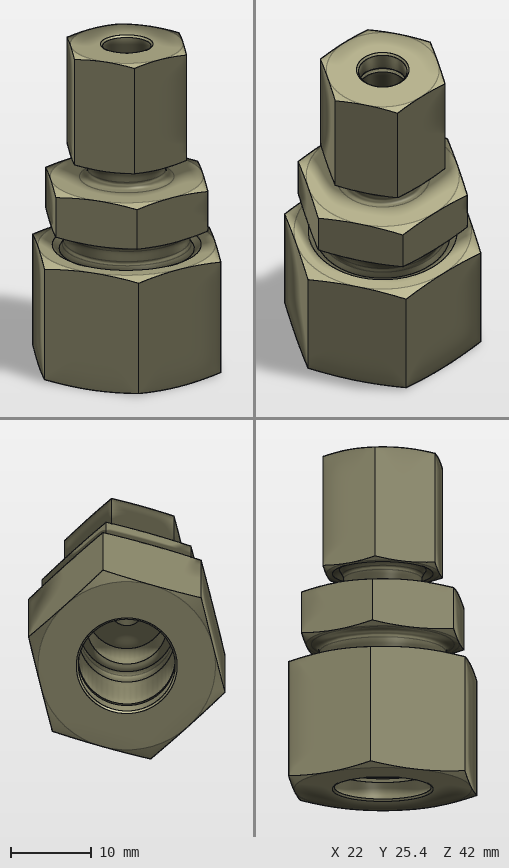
import cadquery as cq
import math


overall_length = 42
body_hex_width = 19.0
body_hex_length = 6.0
hex_chamfer_angle = 15

large_end = {
    "nut_width": 22.0,
    "nut_length": 15.5,
    "mouth_diameter": 18.5,
    "thread_diameter": 16.75,
    "neck_diameter": 15.7,
    "ring_diameter": 16.0,
    "cone_diameter": 14.3,
    "tube_diameter": 12.0,
    "bore_diameter": 10.0,
}
small_end = {
    "nut_width": 14.0,
    "nut_length": 14.5,
    "mouth_diameter": 12.47,
    "thread_diameter": 10.75,
    "neck_diameter": 9.7,
    "ring_diameter": 10.0,
    "cone_diameter": 8,
    "tube_diameter": 6.0,
    "bore_diameter": 4.0,
}

stem_length = 10.0
neck_fillet = 1.0
neck_end = 2.35
countersink_slope = 30
neck_run_out_angle = 30
socket_depth = 7.0
cone_half_angle = 12
ring_nose_length = 3.0
ring_recess = 3.0
land_length = 2.35
tube_hole_chamfer = 0.25

nut_gap = (overall_length - body_hex_length - large_end["nut_length"] - small_end["nut_length"]) / 2
body_bottom = large_end["nut_length"] + nut_gap
body_top = body_bottom + body_hex_length


def revolved(outline):
    """Turn a closed XZ outline around the Z axis."""
    return outline.close().revolve(360, (0, 0, 0), (0, 1, 0))


def chamfered_hexagon(width, length):
    """Hexagonal prism from z = 0, flats facing +X and -X, corners turned down at both ends."""
    corner_radius = width / math.sqrt(3)
    chamfer_height = (corner_radius - width / 2) * math.tan(math.radians(hex_chamfer_angle))
    prism = cq.Workplane("XY").polygon(6, 2 * corner_radius).extrude(length)
    prism = prism.rotate((0, 0, 0), (0, 0, 1), 30)
    turned = revolved(
        cq.Workplane("XZ")
        .lineTo(width / 2, 0)
        .lineTo(corner_radius, chamfer_height)
        .lineTo(corner_radius, length - chamfer_height)
        .lineTo(width / 2, length)
        .lineTo(0, length)
    )
    return prism.intersect(turned)



def countersink_depth(end):
    """Depth of the conical countersink at the nut's inner face."""
    width = (end["mouth_diameter"] - end["thread_diameter"]) / 2
    return width * math.tan(math.radians(countersink_slope))


def make_stem(end):
    """Solid threaded stem with its relief neck."""
    neck_radius = end["neck_diameter"] / 2
    thread_radius = end["thread_diameter"] / 2
    fillet_center = neck_radius + neck_fillet

    def fillet_point(center_height, angle):
        """Point on a neck fillet; the angle is 0 where it meets the straight neck."""
        radians = math.radians(angle)
        return (
            fillet_center - neck_fillet * math.cos(radians),
            center_height + neck_fillet * math.sin(radians),
        )

    return revolved(
        cq.Workplane("XZ")
        .lineTo(fillet_center, 0)
        .threePointArc(fillet_point(neck_fillet, -45), fillet_point(neck_fillet, 0))
        .lineTo(neck_radius, neck_end)
        .threePointArc(
            fillet_point(neck_end, neck_run_out_angle / 2),
            fillet_point(neck_end, neck_run_out_angle),
        )
        .lineTo(thread_radius, nut_gap + countersink_depth(end))
        .lineTo(thread_radius, stem_length)
        .lineTo(0, stem_length)
    )


def make_stem_cavity(end):
    """Ring cone, tube socket and bore; the bore runs on to the middle of the body hexagon."""
    cone_radius = end["cone_diameter"] / 2
    tube_radius = end["tube_diameter"] / 2
    bore_radius = end["bore_diameter"] / 2
    cone_length = (cone_radius - tube_radius) / math.tan(math.radians(cone_half_angle))
    bore_end = -body_hex_length / 2
    return revolved(
        cq.Workplane("XZ")
        .moveTo(0, bore_end)
        .lineTo(bore_radius, bore_end)
        .lineTo(bore_radius, stem_length - socket_depth)
        .lineTo(tube_radius, stem_length - socket_depth)
        .lineTo(tube_radius, stem_length - cone_length)
        .lineTo(cone_radius, stem_length)
        .lineTo(0, stem_length)
    )


def make_nut(end):
    """Union nut with countersink, thread bore, 45 degree ring seat and chamfered tube hole."""
    mouth_radius = end["mouth_diameter"] / 2
    thread_radius = end["thread_diameter"] / 2
    tube_radius = end["tube_diameter"] / 2
    outer_face = nut_gap + end["nut_length"]
    seat_start = outer_face - land_length
    seat_end = seat_start - (thread_radius - tube_radius)
    cavity = revolved(
        cq.Workplane("XZ")
        .moveTo(0, nut_gap)
        .lineTo(mouth_radius, nut_gap)
        .lineTo(thread_radius, nut_gap + countersink_depth(end))
        .lineTo(thread_radius, seat_end)
        .lineTo(tube_radius, seat_start)
        .lineTo(tube_radius, outer_face - tube_hole_chamfer)
        .lineTo(tube_radius + tube_hole_chamfer, outer_face)
        .lineTo(0, outer_face)
    )
    blank = chamfered_hexagon(end["nut_width"], end["nut_length"]).translate((0, 0, nut_gap))
    return blank.cut(cavity)


def make_ring(end):
    """Cutting ring between the stem's cone and the nut's seat."""
    tube_radius = end["tube_diameter"] / 2
    collar_radius = end["ring_diameter"] / 2
    cone_radius = end["cone_diameter"] / 2
    ring_end = nut_gap + end["nut_length"] - ring_recess
    end_radius = tube_radius + ring_recess - land_length
    nose_radius = cone_radius - ring_nose_length * math.tan(math.radians(cone_half_angle))
    return revolved(
        cq.Workplane("XZ")
        .moveTo(tube_radius, stem_length - ring_nose_length)
        .lineTo(nose_radius, stem_length - ring_nose_length)
        .lineTo(cone_radius, stem_length)
        .lineTo(collar_radius, stem_length)
        .lineTo(collar_radius, ring_end - (collar_radius - end_radius))
        .lineTo(end_radius, ring_end)
        .lineTo(tube_radius, ring_end)
    )


def place_small_end(part):
    """Set a part of the small end on the body hexagon's top face."""
    return part.translate((0, 0, body_top))


def place_large_end(part):
    """Turn a part of the large end over, onto the body hexagon's bottom face."""
    return part.mirror("XY").translate((0, 0, body_bottom))


ends = [(small_end, place_small_end), (large_end, place_large_end)]


def make_body():
    """Hexagon with both stems, bored through."""
    body = chamfered_hexagon(body_hex_width, body_hex_length).translate((0, 0, body_bottom))
    for end, place in ends:
        body = body.union(place(make_stem(end)))
    for end, place in ends:
        body = body.cut(place(make_stem_cavity(end)))
    return body


body = make_body()
nuts = [place(make_nut(end)) for end, place in ends]
rings = [place(make_ring(end)) for end, place in ends]

result = cq.Compound.makeCompound([part.val() for part in (body, *nuts, *rings)])